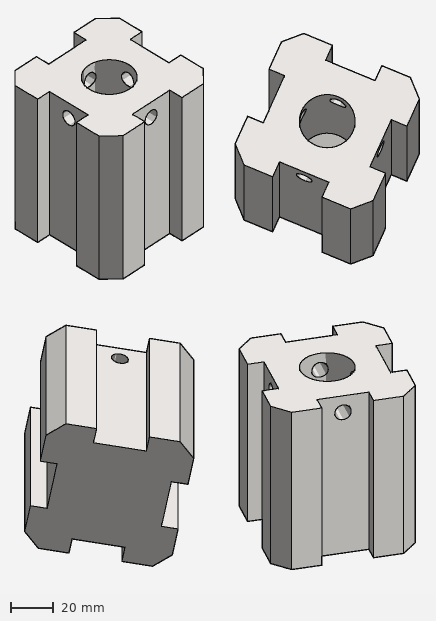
import cadquery as cq
import math

height = 86.0
width = 70.5
corner_chamfer = 8.0

slot_width = 25.2
slot_depth = 8.0

bore_diameter = 26.15
bore_depth = 60.2
drill_point_angle = 118.0

pin_diameter = 8.0
pin_drop = 9.0


def make_block():
    block = cq.Workplane("XY").rect(width, width).extrude(height)
    return block.edges("|Z").chamfer(corner_chamfer)


def make_slots():
    """Cutters for the four side slots."""
    slots = cq.Workplane("XY")
    slot = (
        cq.Workplane("XY")
        .center(width / 2 - slot_depth / 2, 0)
        .rect(slot_depth, slot_width)
        .extrude(height)
    )
    for side in range(4):
        slots = slots.add(slot.rotate((0, 0, 0), (0, 0, 1), 90 * side))
    return slots.combine()


def make_bore():
    """Cutter for the bore: a cylinder with a conical tip."""
    radius = bore_diameter / 2
    shoulder_z = height - bore_depth
    tip_z = shoulder_z - radius / math.tan(math.radians(drill_point_angle / 2))
    profile = [(0, tip_z), (radius, shoulder_z), (radius, height), (0, height)]
    return cq.Workplane("XZ").polyline(profile).close().revolve(360, (0, 0), (0, 1))


def make_pin_hole(plane):
    """Cutter for a pin hole running right through the block."""
    return (
        cq.Workplane(plane)
        .center(0, height - pin_drop)
        .circle(pin_diameter / 2)
        .extrude(width / 2, both=True)
    )


result = make_block().cut(make_slots()).cut(make_bore())
for pin_plane in ("XZ", "YZ"):
    result = result.cut(make_pin_hole(pin_plane))